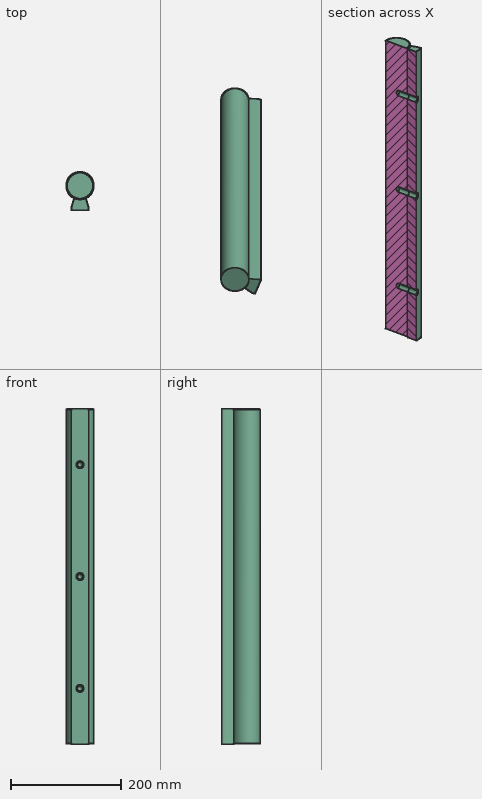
import cadquery as cq
import math

length = 609.5
total_depth = 70.0

shaft_diameter = 50.5
shaft_radius = shaft_diameter / 2
shaft_end_gap = 1.0
shaft_chamfer = 2.0

foot_width = 32.0
foot_height = 5.5
cradle_width = 21.5
rail_base_y = shaft_radius - total_depth
foot_top_y = rail_base_y + foot_height
cradle_edge_y = -math.sqrt(shaft_radius**2 - (cradle_width / 2) ** 2)

hole_count = 3
hole_pitch = length / hole_count
hole_diameter = 10.0
mouth_diameter = 13.5
drill_point_angle = 118
hole_radius = hole_diameter / 2
mouth_radius = mouth_diameter / 2
mouth_depth = mouth_radius - hole_radius
drill_point_depth = hole_radius / math.tan(math.radians(drill_point_angle / 2))


def make_shaft():
    shaft = (
        cq.Workplane("XY", origin=(0, 0, shaft_end_gap))
        .circle(shaft_radius)
        .extrude(length - shaft_end_gap)
    )
    return shaft.faces(">Z").chamfer(shaft_chamfer)


def make_rail():
    half_foot = foot_width / 2
    half_cradle = cradle_width / 2
    return (
        cq.Workplane("XY")
        .moveTo(-half_foot, rail_base_y)
        .lineTo(half_foot, rail_base_y)
        .lineTo(half_foot, foot_top_y)
        .lineTo(half_cradle, cradle_edge_y)
        .threePointArc((0, -shaft_radius), (-half_cradle, cradle_edge_y))
        .lineTo(-half_foot, foot_top_y)
        .close()
        .extrude(length)
    )


def make_hole_cutter(height):
    profile = (
        cq.Workplane("XY")
        .moveTo(0, rail_base_y)
        .lineTo(mouth_radius, rail_base_y)
        .lineTo(hole_radius, rail_base_y + mouth_depth)
        .lineTo(hole_radius, -drill_point_depth)
        .lineTo(0, 0)
        .close()
    )
    return profile.revolve(360, (0, 0, 0), (0, 1, 0)).translate((0, 0, height))


shaft = make_shaft()
rail = make_rail()
for index in range(hole_count):
    cutter = make_hole_cutter((index + 0.5) * hole_pitch)
    shaft = shaft.cut(cutter)
    rail = rail.cut(cutter)

result = cq.Compound.makeCompound([shaft.val(), rail.val()])